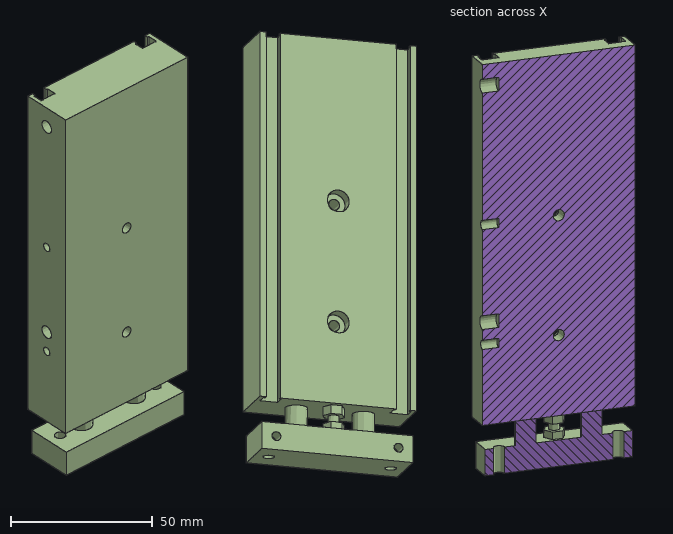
import cadquery as cq
import math


TOTAL_HEIGHT = 154.0

PLATE_THICKNESS = 18.3
PLATE_WIDTH = 56.0
PLATE_HEIGHT = 10.0
PLATE_OFFSET = 1.0
ROD_DIAMETER = 8.0
ROD_SPACING = 25.0
GAP = 9.0
PLATE_HOLE_SPACING = 45.3
PLATE_FACE_HOLE_DIAMETER = 3.2
PLATE_FACE_HOLE_DEPTH = 6.2
PLATE_VERTICAL_HOLE_DIAMETER = 4.0

HOUSING_THICKNESS = 20.0
HOUSING_WIDTH = 58.0
HOUSING_BOTTOM = PLATE_HEIGHT + GAP
HOUSING_HEIGHT = TOTAL_HEIGHT - HOUSING_BOTTOM
HOUSING_CENTER_X = HOUSING_THICKNESS / 2

SLOT_EDGE_DISTANCE = 5.0
SLOT_MOUTH_WIDTH = 5.2
SLOT_INNER_WIDTH = 6.5
SLOT_LIP = 1.4
SLOT_DEPTH = 5.2

MOUNT_HEIGHTS = (49.1, 94.0)
MOUNT_DIAMETER = 4.0
COUNTERBORE_DIAMETER = 8.0
COUNTERBORE_DEPTH = 5.0
SIDE_HOLE_DIAMETER = 3.2
SIDE_HOLE_DEPTH = 6.2

PORT_HEIGHTS = (57.5, 145.8)
PORT_DIAMETER = 5.0
PORT_DEPTH = 6.2

BOLT_X = 5.5
BOLT_SHANK_DIAMETER = 4.0
HEX_ACROSS_FLATS = 7.0
HEX_ACROSS_CORNERS = HEX_ACROSS_FLATS / math.cos(math.pi / 6)
LOWER_NUT_HEIGHT = 2.8
UPPER_HEAD_HEIGHT = 3.2


def cylinder(diameter, length, start, direction):
    """Solid cylinder running from a start point along a direction."""
    return cq.Workplane(cq.Solid.makeCylinder(diameter / 2, length, cq.Vector(*start), cq.Vector(*direction)))


def box(size_x, size_y, size_z, x_min, y_center, z_min):
    """Box placed by its -X face, its middle in Y and its bottom."""
    block = cq.Workplane().box(size_x, size_y, size_z, centered=(False, True, False))
    return block.translate((x_min, y_center, z_min))


def make_t_slot(y_center):
    """T-slot volume over the full height of the housing."""
    mouth = box(SLOT_DEPTH, SLOT_MOUTH_WIDTH, HOUSING_HEIGHT, 0, y_center, HOUSING_BOTTOM)
    inner = box(SLOT_DEPTH - SLOT_LIP, SLOT_INNER_WIDTH, HOUSING_HEIGHT, SLOT_LIP, y_center, HOUSING_BOTTOM)
    return mouth.union(inner)


def side_hole(diameter, depth, height):
    """Blind hole volume in the -Y side of the housing."""
    return cylinder(diameter, depth, (HOUSING_CENTER_X, -HOUSING_WIDTH / 2, height), (0, 1, 0))


def make_housing():
    housing = box(HOUSING_THICKNESS, HOUSING_WIDTH, HOUSING_HEIGHT, 0, 0, HOUSING_BOTTOM)
    for side in (-1, 1):
        housing = housing.cut(make_t_slot(side * (HOUSING_WIDTH / 2 - SLOT_EDGE_DISTANCE)))
    for height in MOUNT_HEIGHTS:
        housing = housing.cut(cylinder(MOUNT_DIAMETER, HOUSING_THICKNESS, (0, 0, height), (1, 0, 0)))
        housing = housing.cut(cylinder(COUNTERBORE_DIAMETER, COUNTERBORE_DEPTH, (0, 0, height), (1, 0, 0)))
        housing = housing.cut(side_hole(SIDE_HOLE_DIAMETER, SIDE_HOLE_DEPTH, height))
    for height in PORT_HEIGHTS:
        housing = housing.cut(side_hole(PORT_DIAMETER, PORT_DEPTH, height))
    return housing


def make_slide():
    """End plate with its two guide rods, which end at the housing."""
    slide = box(PLATE_THICKNESS, PLATE_WIDTH, PLATE_HEIGHT, PLATE_OFFSET, 0, 0)
    for side in (-1, 1):
        rod_start = (HOUSING_CENTER_X, side * ROD_SPACING / 2, 0)
        slide = slide.union(cylinder(ROD_DIAMETER, HOUSING_BOTTOM, rod_start, (0, 0, 1)))
        hole_y = side * PLATE_HOLE_SPACING / 2
        face_start = (PLATE_OFFSET, hole_y, PLATE_HEIGHT / 2)
        slide = slide.cut(cylinder(PLATE_FACE_HOLE_DIAMETER, PLATE_FACE_HOLE_DEPTH, face_start, (1, 0, 0)))
        vertical_start = (HOUSING_CENTER_X, hole_y, 0)
        slide = slide.cut(cylinder(PLATE_VERTICAL_HOLE_DIAMETER, PLATE_HEIGHT, vertical_start, (0, 0, 1)))
    return slide


def make_hexagon(height, z_min):
    """Hexagonal prism with its corners pointing along Y."""
    hexagon = cq.Workplane().polygon(6, HEX_ACROSS_CORNERS).extrude(height)
    return hexagon.rotate((0, 0, 0), (0, 0, 1), 90).translate((BOLT_X, 0, z_min))


def make_stop_bolt():
    """Shank with a nut on the plate and a head against the housing."""
    shank = cylinder(BOLT_SHANK_DIAMETER, GAP, (BOLT_X, 0, PLATE_HEIGHT), (0, 0, 1))
    nut = make_hexagon(LOWER_NUT_HEIGHT, PLATE_HEIGHT)
    head = make_hexagon(UPPER_HEAD_HEIGHT, HOUSING_BOTTOM - UPPER_HEAD_HEIGHT)
    return shank.union(nut).union(head)


housing = make_housing()
slide = make_slide()
stop_bolt = make_stop_bolt()

result = cq.Compound.makeCompound([housing.val(), slide.val(), stop_bolt.val()])